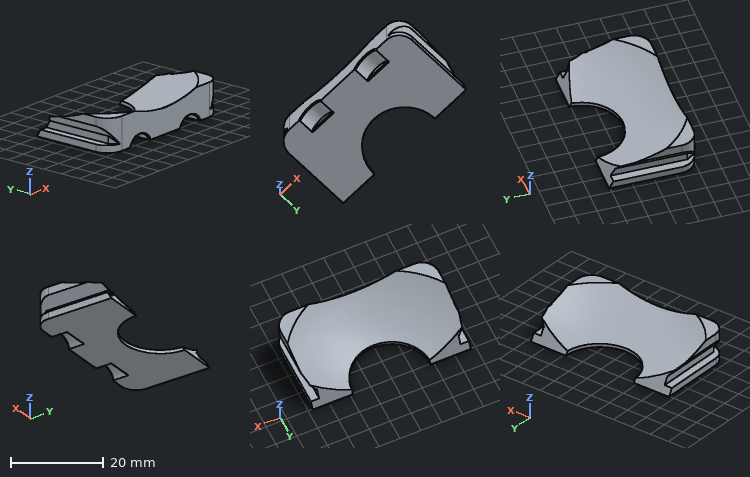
import cadquery as cq
import math

WIDTH = 37.8
DEPTH = 20.55
HEIGHT = 8.0
CORNER_RADIUS = 4.0
BACK_LEAN = 30.0

DISH_AXIS_Y = 20.25
DISH_RIM_RADIUS = 22.8
DISH_BOTTOM = -0.4

BITE_RADIUS = 9.25

FOOT_HEIGHT = 1.78
SLOT_TOP = 5.9
SLOT_SLOPE = 50.0
WEB_INSET = 2.0
WEB_FRONT = 2.08

POCKET_SPACING = 16.97
POCKET_RADIUS = 3.78
POCKET_HEIGHT = 2.42
POCKET_DEPTH = 3.78
POCKET_CHAMFER = 0.25

HALF_WIDTH = WIDTH / 2


def make_block():
    """Side profile with a leaning back, extruded across the width, front corners rounded."""
    top_depth = DEPTH - HEIGHT * math.tan(math.radians(BACK_LEAN))
    block = (
        cq.Workplane("YZ")
        .polyline([(0, 0), (DEPTH, 0), (top_depth, HEIGHT), (0, HEIGHT)])
        .close()
        .extrude(HALF_WIDTH, both=True)
    )
    return block.edges("|Z").edges("<Y").fillet(CORNER_RADIUS)


def make_dish():
    """Solid of revolution bounded below by a parabola; a quadratic Bezier curve is an exact parabola."""
    parabola = [
        (0, DISH_BOTTOM),
        (DISH_RIM_RADIUS / 2, DISH_BOTTOM),
        (DISH_RIM_RADIUS, HEIGHT),
    ]
    return (
        cq.Workplane("XZ")
        .moveTo(0, DISH_BOTTOM)
        .bezier(parabola)
        .lineTo(0, HEIGHT)
        .close()
        .revolve(360, (0, 0), (0, 1))
        .translate((0, DISH_AXIS_Y, 0))
    )


def make_bite():
    return cq.Workplane("XY").center(0, DEPTH).circle(BITE_RADIUS).extrude(HEIGHT)


def make_left_slot():
    """Triangular undercut, limited in plan by the web and its taper to the front."""
    reach = (SLOT_TOP - FOOT_HEIGHT) / math.tan(math.radians(SLOT_SLOPE))
    outer = -HALF_WIDTH
    wedge = (
        cq.Workplane("XZ")
        .polyline([(outer, FOOT_HEIGHT), (outer + reach, FOOT_HEIGHT), (outer, SLOT_TOP)])
        .close()
        .extrude(-DEPTH)
    )
    plan = (
        cq.Workplane("XY")
        .polyline([
            (outer, 0),
            (outer + reach, 0),
            (outer + WEB_INSET, WEB_FRONT),
            (outer + WEB_INSET, DEPTH),
            (outer, DEPTH),
        ])
        .close()
        .extrude(HEIGHT)
    )
    return wedge.intersect(plan)


def make_pocket(center_x):
    """Round pocket with a chamfered mouth and a chamfer where its end wall meets the base."""
    axis_z = POCKET_HEIGHT - POCKET_RADIUS
    inner_radius = POCKET_RADIUS - POCKET_CHAMFER
    bore = (
        cq.Workplane("XY")
        .polyline([
            (0, 0),
            (POCKET_RADIUS, 0),
            (inner_radius, POCKET_CHAMFER),
            (inner_radius, POCKET_DEPTH),
            (0, POCKET_DEPTH),
        ])
        .close()
        .revolve(360, (0, 0), (0, 1))
        .translate((center_x, 0, axis_z))
    )
    half_chord = math.sqrt(inner_radius**2 - axis_z**2)
    end_chamfer = (
        cq.Workplane("YZ")
        .polyline([
            (POCKET_DEPTH, 0),
            (POCKET_DEPTH + POCKET_CHAMFER, 0),
            (POCKET_DEPTH, POCKET_CHAMFER),
        ])
        .close()
        .extrude(half_chord, both=True)
        .translate((center_x, 0, 0))
    )
    return bore.union(end_chamfer)


left_slot = make_left_slot()
result = make_block().cut(make_dish()).cut(make_bite())
result = result.cut(left_slot).cut(left_slot.mirror("YZ"))
for side in (-1, 1):
    result = result.cut(make_pocket(side * POCKET_SPACING / 2))